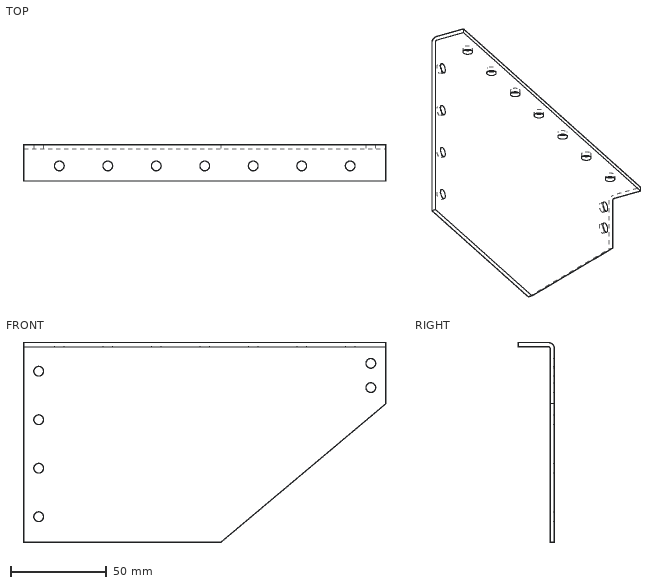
import cadquery as cq

length = 189.86
flange_width = 19.05
height = 104.7

thickness = 2.286
bend_inner_radius = 0.889
bend_outer_radius = bend_inner_radius + thickness

bottom_edge_length = 103.4
end_edge_height = 32.1

hole_diameter = 4.978
hole_pitch = 25.4
hole_edge_distance = 7.9375
flange_hole_count = 7
mount_hole_count = 4
mount_hole_drop = 15.08
end_hole_count = 2
end_hole_pitch = hole_pitch / 2
end_hole_drop = 10.95

left = -length / 2
right = length / 2
front = -flange_width / 2
back = flange_width / 2
bottom = -height / 2
top = height / 2


def bent_sheet():
    """L-shaped section with a rounded bend, extruded along X."""
    sheet = (
        cq.Workplane("YZ")
        .workplane(offset=left)
        .moveTo(back, bottom)
        .lineTo(back, top - bend_outer_radius)
        .radiusArc((back - bend_outer_radius, top), -bend_outer_radius)
        .lineTo(front, top)
        .lineTo(front, top - thickness)
        .lineTo(back - bend_outer_radius, top - thickness)
        .radiusArc((back - thickness, top - bend_outer_radius), bend_inner_radius)
        .lineTo(back - thickness, bottom)
        .close()
        .extrude(length)
    )
    return sheet


def corner_cut():
    """Triangular prism that slopes the lower corner of the web."""
    corner = [
        (left + bottom_edge_length, bottom),
        (right, bottom),
        (right, top - end_edge_height),
    ]
    return cq.Workplane("XZ", origin=(0, back, 0)).polyline(corner).close().extrude(flange_width)


def web_holes():
    """Holes along Y: a column at the left edge and a pair at the right end."""
    mount_points = [
        (left + hole_edge_distance, top - mount_hole_drop - i * hole_pitch)
        for i in range(mount_hole_count)
    ]
    end_points = [
        (right - hole_edge_distance, top - end_hole_drop - i * end_hole_pitch)
        for i in range(end_hole_count)
    ]
    return (
        cq.Workplane("XZ", origin=(0, back, 0))
        .pushPoints(mount_points + end_points)
        .circle(hole_diameter / 2)
        .extrude(thickness)
    )


def flange_holes():
    """Row of holes along Z, centred on the length of the flange."""
    first_x = -(flange_hole_count - 1) * hole_pitch / 2
    points = [
        (first_x + i * hole_pitch, front + hole_edge_distance)
        for i in range(flange_hole_count)
    ]
    return (
        cq.Workplane("XY", origin=(0, 0, top))
        .pushPoints(points)
        .circle(hole_diameter / 2)
        .extrude(-thickness)
    )


result = bent_sheet().cut(corner_cut()).cut(web_holes()).cut(flange_holes())